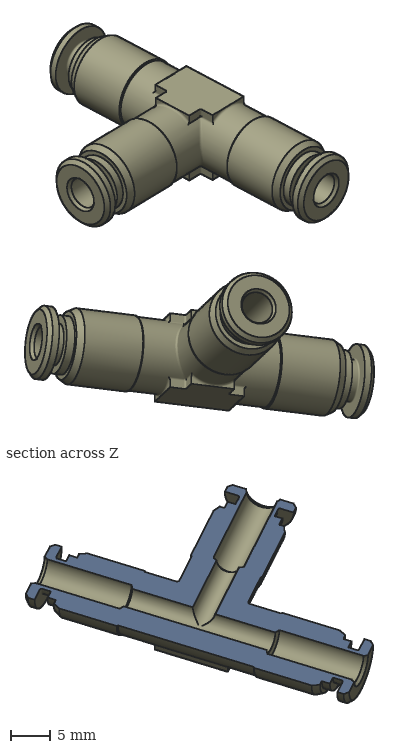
import cadquery as cq
import math

arm_length = 22.1
body_radius = 4.75
sleeve_radius = 4.9
sleeve_length = 8.8
sleeve_chamfer_length = 0.95
sleeve_chamfer_depth = 0.5
collar_radius = 3.77
collar_length = 1.1
neck_radius = 2.7
neck_length = 1.35
flange_radius = 4.72
flange_thickness = 1.45
neck_fillet = 0.2
flange_chamfer = 0.55

through_radius = 1.5
tube_radius = 2.05
tube_depth = 12.0
seat_cone_angle = 118
mouth_radius = 2.35
mouth_depth = 0.5

pad_height = 5.0
pad_half_width = 5.0
pad_half_depth = 2.9
stub_half_width = pad_half_depth
stub_reach = pad_half_width
pad_root_fillet = 0.3
inner_corner_fillet = 0.25
pad_trim = 0.3

tolerance = 1e-3

flange_back = arm_length - flange_thickness
collar_end = flange_back - neck_length
sleeve_end = collar_end - collar_length
sleeve_start = sleeve_end - sleeve_length
sleeve_step = sleeve_radius - body_radius


def place_arms(arm):
    """Repeat an arm lying along +X on the +X, -X and -Y ports."""
    arms = arm
    for angle in (180, -90):
        arms = arms.union(arm.rotate((0, 0, 0), (0, 0, 1), angle))
    return arms


def make_core():
    """Plain round run along X with a round branch towards -Y."""
    run = cq.Workplane("YZ").circle(body_radius).extrude(sleeve_start, both=True)
    branch = cq.Workplane("XZ").circle(body_radius).extrude(sleeve_start)
    return run.union(branch)


def make_pads():
    """T-shaped block whose two ends are the top and bottom pads, still over height."""
    outline = [
        (-pad_half_width, pad_half_depth),
        (pad_half_width, pad_half_depth),
        (pad_half_width, -pad_half_depth),
        (stub_half_width, -pad_half_depth),
        (stub_half_width, -stub_reach),
        (-stub_half_width, -stub_reach),
        (-stub_half_width, -pad_half_depth),
        (-pad_half_width, -pad_half_depth),
    ]
    return cq.Workplane("XY").polyline(outline).close().extrude(pad_height + pad_trim, both=True)


def revolve_about_x(profile):
    """Close a half profile of (station, radius) points and turn it about the X axis."""
    return profile.close().revolve(360, (0, 0), (1, 0))


def make_fitting():
    """Sleeve, collar, neck and release flange of one port."""
    profile = (
        cq.Workplane("XY")
        .moveTo(sleeve_start - sleeve_step, 0)
        .lineTo(sleeve_start - sleeve_step, body_radius)
        .lineTo(sleeve_start, sleeve_radius)
        .lineTo(sleeve_end - sleeve_chamfer_length, sleeve_radius)
        .lineTo(sleeve_end, sleeve_radius - sleeve_chamfer_depth)
        .lineTo(sleeve_end, collar_radius)
        .lineTo(collar_end, collar_radius)
        .lineTo(collar_end, neck_radius)
        .lineTo(flange_back - neck_fillet, neck_radius)
        .radiusArc((flange_back, neck_radius + neck_fillet), -neck_fillet)
        .lineTo(flange_back, flange_radius)
        .lineTo(arm_length - flange_chamfer, flange_radius)
        .lineTo(arm_length, flange_radius - flange_chamfer)
        .lineTo(arm_length, 0)
    )
    return revolve_about_x(profile)


def make_bore():
    """Through bore, tube socket with a conical seat, and flared mouth."""
    seat = arm_length - tube_depth
    seat_length = (tube_radius - through_radius) / math.tan(math.radians(seat_cone_angle / 2))
    profile = cq.Workplane("XY").polyline([
        (0, 0),
        (0, through_radius),
        (seat - seat_length, through_radius),
        (seat, tube_radius),
        (arm_length - mouth_depth, tube_radius),
        (arm_length, mouth_radius),
        (arm_length, 0),
    ])
    return revolve_about_x(profile)


def fillet_pad_roots(core):
    """Blend the pad walls into the body, on every edge where a wall meets the round body."""
    def is_root(edge):
        box = edge.BoundingBox()
        on_pad = max(abs(box.xmin), abs(box.xmax), abs(box.ymin), abs(box.ymax)) < pad_half_width + tolerance
        below_top = max(abs(box.zmin), abs(box.zmax)) < body_radius + tolerance
        upright = box.xlen < tolerance and box.ylen < tolerance
        one_side = box.zmin * box.zmax > 0
        return on_pad and below_top and one_side and not upright

    roots = [edge for edge in core.edges().vals() if is_root(edge)]
    return core.newObject(roots).fillet(pad_root_fillet)


def fillet_inner_corners(core):
    """Round the inner corners between pad and stub; the blend runs on down the tee mitre."""
    def is_inner(edge):
        centre = edge.Center()
        return abs(centre.x) < stub_half_width + tolerance and centre.y > -pad_half_depth - tolerance

    corners = [edge for edge in core.edges("|Z").vals() if is_inner(edge)]
    return core.newObject(corners).fillet(inner_corner_fillet)


def trim_pads(core):
    """Cut both pads back to their flat faces."""
    span = 2 * arm_length
    return core.intersect(cq.Workplane("XY").box(span, span, 2 * pad_height))


core = make_core().union(make_pads())
core = fillet_pad_roots(core)
core = fillet_inner_corners(core)
core = trim_pads(core)
result = core.union(place_arms(make_fitting())).cut(place_arms(make_bore()))